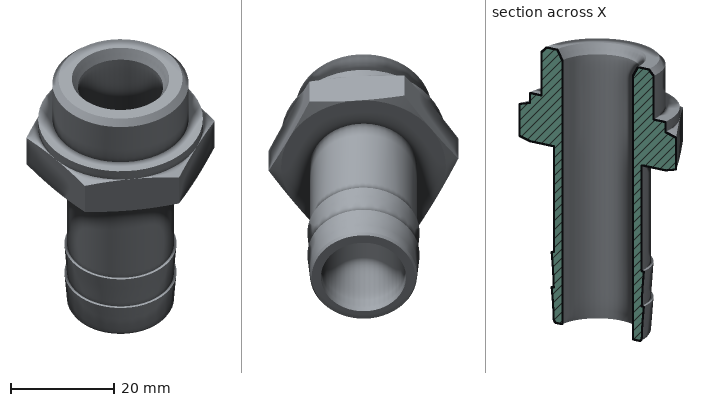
import cadquery as cq
import math

total_height = 56.0
hex_bottom = 36.0
hex_top = 43.9
collar_top = 46.0

across_flats = 32.0
thread_diameter = 26.45
stem_diameter = 20.8
barb_diameter = 21.8
bore_diameter = 16.5

barb_count = 2
barb_length = 7.2
thread_chamfer = 1.2
bore_chamfer_width = 1.2
bore_chamfer_depth = 2.0
hose_end_chamfer_width = 0.35
hose_end_chamfer_height = 0.55
hex_chamfer_angle = 15.0

flat_radius = across_flats / 2
corner_radius = flat_radius / math.cos(math.radians(30))
chamfer_drop = (corner_radius - flat_radius) * math.tan(math.radians(hex_chamfer_angle))


def cylinder(diameter, bottom, top):
    return cq.Workplane("XY").workplane(offset=bottom).circle(diameter / 2).extrude(top - bottom)


def revolve_profile(points):
    """Revolve a closed (radius, height) outline about the Z axis."""
    return cq.Workplane("XZ").polyline(points).close().revolve(360, (0, 0), (0, 1))


def make_hexagon():
    """Hexagon with corners on the Y axis, both ends turned down at the corners."""
    prism = (
        cq.Workplane("XY")
        .workplane(offset=hex_bottom)
        .transformed(rotate=(0, 0, 90))
        .polygon(6, 2 * corner_radius)
        .extrude(hex_top - hex_bottom)
    )
    envelope = revolve_profile([
        (0, hex_bottom),
        (flat_radius, hex_bottom),
        (corner_radius, hex_bottom + chamfer_drop),
        (corner_radius, hex_top - chamfer_drop),
        (flat_radius, hex_top),
        (0, hex_top),
    ])
    return prism.intersect(envelope)


def make_hose_stem():
    """Plain stem with barbs that widen away from the hose end."""
    stem_radius = stem_diameter / 2
    points = [
        (0, 0),
        (stem_radius - hose_end_chamfer_width, 0),
        (stem_radius, hose_end_chamfer_height),
    ]
    for barb in range(barb_count):
        barb_top = (barb + 1) * barb_length
        points.append((barb_diameter / 2, barb_top))
        points.append((stem_radius, barb_top))
    points += [(stem_radius, hex_bottom), (0, hex_bottom)]
    return revolve_profile(points)


def make_bore():
    """Through bore with a chamfered mouth at the threaded end."""
    bore_radius = bore_diameter / 2
    return revolve_profile([
        (0, 0),
        (bore_radius, 0),
        (bore_radius, total_height - bore_chamfer_depth),
        (bore_radius + bore_chamfer_width, total_height),
        (0, total_height),
    ])


collar = cylinder(across_flats, hex_top, collar_top)
thread = cylinder(thread_diameter, collar_top, total_height).faces(">Z").chamfer(thread_chamfer)

result = make_hose_stem().union(make_hexagon()).union(collar).union(thread).cut(make_bore())